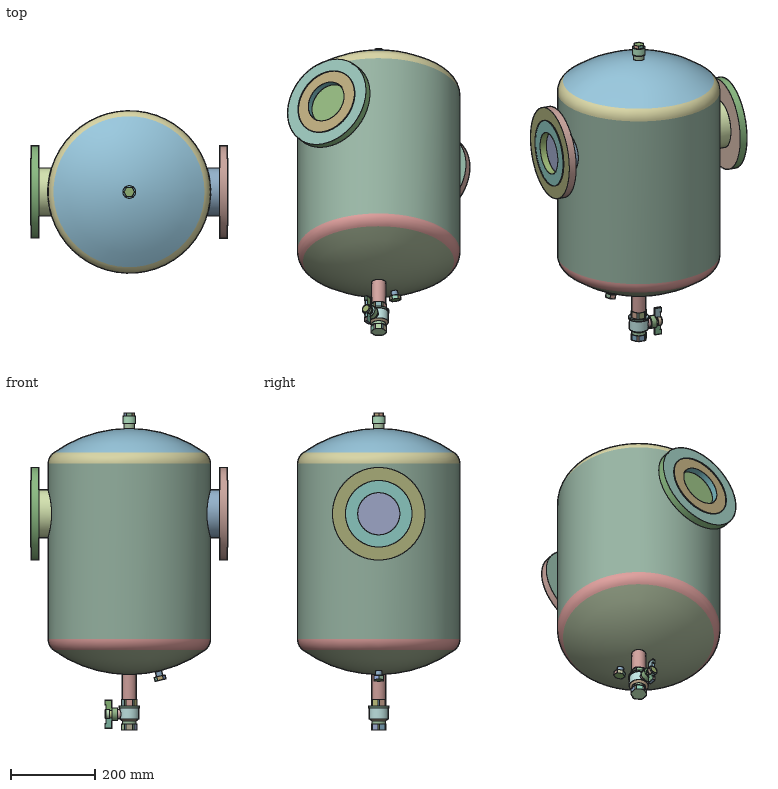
import cadquery as cq
import math


hex_flats = 35.0
hex_corner_flats = 38.0
lower_hex_height = 14.0
valve_neck_radius = 16.5
valve_neck_height = 7.5
valve_taper_height = 4.5
valve_body_radius = 22.5
valve_body_height = 26.0
valve_ring_radius = 24.0
valve_ring_height = 4.5
upper_hex_height = 16.0

stem_axis_z = 38.0
stem_radius = 11.0
bonnet_radius = 15.0
bonnet_start = 28.0
bonnet_end = 41.5
hub_radius = 11.0
hub_groove_radius = 10.0
hub_start = 47.0
handle_end = 58.0
hub_chamfer = 2.0
handle_length = 67.0
handle_thickness = 7.0
handle_relief_depth = 2.0
handle_tip_length = 11.0

tank_diameter = 386.0
tank_height = 584.0
dish_radius = 309.0
knuckle_radius = 33.0

pipe_diameter = 34.0
pipe_length = 59.0

overall_width = 470.0
nozzle_axis_z = 513.5
nozzle_diameter = 114.5
flange_diameter = 220.0
flange_thickness = 20.0
raised_face_diameter = 158.0
raised_face_height = 2.0
bore_diameter = 100.0
bore_depth = 16.5

vent_neck_diameter = 25.5
vent_neck_height = 11.0
vent_collar_diameter = 30.0
vent_collar_height = 18.0
vent_hex_corners = 25.5
vent_hex_height = 7.5

plug_tilt = 13.0
plug_neck_diameter = 16.0
plug_neck_length = 12.0
plug_hex_corners = 27.0
plug_hex_height = 10.0

valve_height = (
    lower_hex_height + valve_neck_height + valve_taper_height
    + valve_body_height + valve_ring_height + upper_hex_height
)
tank_bottom = valve_height + pipe_length
tank_top = tank_bottom + tank_height
tank_radius = tank_diameter / 2
embed = 22.5


def cylinder_z(radius, start, height):
    return cq.Workplane("XY", origin=(0, 0, start)).circle(radius).extrude(height)


def cylinder_x(radius, start, end, axis_z):
    """Cylinder along -X between two distances from the tank axis."""
    plane = cq.Plane(origin=(-start, 0, axis_z), xDir=(0, 1, 0), normal=(-1, 0, 0))
    return cq.Workplane(plane).circle(radius).extrude(end - start)


def make_tank():
    """Revolve a cylinder closed by two dished ends with tangent knuckles."""
    knuckle_center_r = tank_radius - knuckle_radius
    meet = math.acos(knuckle_center_r / (dish_radius - knuckle_radius))
    dome_height = dish_radius - (dish_radius - knuckle_radius) * math.sin(meet)
    half_height = tank_height / 2
    half_straight = half_height - dome_height
    dish_center = half_height - dish_radius

    def on_arc(center_r, center_z, radius, angle, side):
        """Point on an end arc; side is 1 for the upper end and -1 for the lower."""
        return center_r + radius * math.cos(angle), side * (center_z + radius * math.sin(angle))

    def on_knuckle(angle, side):
        return on_arc(knuckle_center_r, half_straight, knuckle_radius, angle, side)

    def on_dish(angle, side):
        return on_arc(0, dish_center, dish_radius, angle, side)

    dish_mid = (meet + math.pi / 2) / 2
    upper, lower = 1, -1
    profile = (
        cq.Workplane("XZ")
        .moveTo(0, -half_height)
        .threePointArc(on_dish(dish_mid, lower), on_dish(meet, lower))
        .threePointArc(on_knuckle(meet / 2, lower), (tank_radius, -half_straight))
        .lineTo(tank_radius, half_straight)
        .threePointArc(on_knuckle(meet / 2, upper), on_knuckle(meet, upper))
        .threePointArc(on_dish(dish_mid, upper), (0, half_height))
        .close()
    )
    tank = profile.revolve(360, (0, 0), (0, 1))
    return tank.translate((0, 0, tank_bottom + half_height))


def make_left_nozzle(tank):
    """Flanged stub on the -X side, with a blind bore and a raised face."""
    face = overall_width / 2
    flange_front = face - raised_face_height
    flange_back = face - flange_thickness
    stub = cylinder_x(nozzle_diameter / 2, tank_radius - embed, flange_back, nozzle_axis_z)
    flange = cylinder_x(flange_diameter / 2, flange_back, flange_front, nozzle_axis_z)
    raised_face = cylinder_x(raised_face_diameter / 2, flange_front, face, nozzle_axis_z)
    bore = cylinder_x(bore_diameter / 2, face - bore_depth, face, nozzle_axis_z)
    return stub.union(flange).union(raised_face).cut(bore).cut(tank)


def make_vent(tank):
    """Neck, round collar and hexagonal cap on the top of the tank."""
    neck = cylinder_z(vent_neck_diameter / 2, tank_top - embed, embed + vent_neck_height)
    collar_bottom = tank_top + vent_neck_height
    collar = cylinder_z(vent_collar_diameter / 2, collar_bottom, vent_collar_height)
    cap = collar.faces(">Z").workplane().polygon(6, vent_hex_corners).extrude(vent_hex_height)
    return neck.union(cap).cut(tank)


def make_drain_pipe(tank):
    return cylinder_z(pipe_diameter / 2, valve_height, pipe_length + embed).cut(tank)


def make_drain_plug(tank):
    """Neck and hexagonal head pointing away from the center of the lower dish."""
    tilt = math.radians(plug_tilt)
    outward = (math.sin(tilt), 0, -math.cos(tilt))
    dish_center_z = tank_bottom + dish_radius

    def plane_at(distance):
        origin = (distance * outward[0], 0, dish_center_z + distance * outward[2])
        return cq.Workplane(cq.Plane(origin=origin, xDir=(-outward[2], 0, outward[0]), normal=outward))

    neck = plane_at(dish_radius - embed).circle(plug_neck_diameter / 2).extrude(embed + plug_neck_length)
    head = plane_at(dish_radius + plug_neck_length).polygon(6, plug_hex_corners).extrude(plug_hex_height)
    return neck.union(head).cut(tank)


def hexagon_prism(across_flats, start, height):
    """Upright hexagon with corners on the X axis."""
    corners = across_flats / math.cos(math.radians(30))
    return cq.Workplane("XY", origin=(0, 0, start)).polygon(6, corners).extrude(height)


def make_valve_hex(start, height):
    """Hexagon whose corners are blunted by a second hexagon turned by 30 degrees."""
    blunting = hexagon_prism(hex_corner_flats, start, height).rotate((0, 0, 0), (0, 0, 1), 30)
    return hexagon_prism(hex_flats, start, height).intersect(blunting)


def make_valve_body():
    taper_bottom = lower_hex_height + valve_neck_height
    body_bottom = taper_bottom + valve_taper_height
    ring_bottom = body_bottom + valve_body_height
    upper_hex_bottom = ring_bottom + valve_ring_height
    barrel = (
        cq.Workplane("XZ")
        .moveTo(0, lower_hex_height)
        .lineTo(valve_neck_radius, lower_hex_height)
        .lineTo(valve_neck_radius, taper_bottom)
        .lineTo(valve_body_radius, body_bottom)
        .lineTo(valve_body_radius, ring_bottom)
        .lineTo(valve_ring_radius, ring_bottom)
        .lineTo(valve_ring_radius, upper_hex_bottom)
        .lineTo(0, upper_hex_bottom)
        .close()
        .revolve(360, (0, 0), (0, 1))
    )
    lower_hex = make_valve_hex(0, lower_hex_height)
    upper_hex = make_valve_hex(upper_hex_bottom, upper_hex_height)
    return barrel.union(lower_hex).union(upper_hex)


def make_valve_handle():
    """Stem, bonnet, hub and flat lever, all on the stem axis."""
    stem = cylinder_x(stem_radius, 0, bonnet_start, stem_axis_z)
    bonnet = cylinder_x(bonnet_radius, bonnet_start, bonnet_end, stem_axis_z)
    groove = cylinder_x(hub_groove_radius, bonnet_end, hub_start, stem_axis_z)
    hub = cylinder_x(hub_radius, hub_start, handle_end, stem_axis_z).faces("<X").chamfer(hub_chamfer)
    lever_width = handle_end - bonnet_end
    lever_x = -(handle_end + bonnet_end) / 2
    lever = cq.Workplane("XY").box(lever_width, handle_thickness, handle_length)
    relief_length = handle_length - 2 * handle_tip_length
    relief = (
        cq.Workplane("XY")
        .box(handle_relief_depth, handle_thickness, relief_length)
        .translate(((handle_relief_depth - lever_width) / 2, 0, 0))
    )
    lever = lever.cut(relief).translate((lever_x, 0, stem_axis_z))
    return stem.union(bonnet).union(groove).union(hub).union(lever)


tank = make_tank()
left_nozzle = make_left_nozzle(tank)
nozzles = [left_nozzle.rotate((0, 0, 0), (0, 0, 1), turn) for turn in (0, 180)]
vent = make_vent(tank)
drain_pipe = make_drain_pipe(tank)
valve = make_valve_body().union(make_valve_handle())
drain_plug = make_drain_plug(tank)

result = cq.Compound.makeCompound([
    tank.val(),
    *[nozzle.val() for nozzle in nozzles],
    vent.val(),
    drain_pipe.val(),
    valve.val(),
    drain_plug.val(),
])